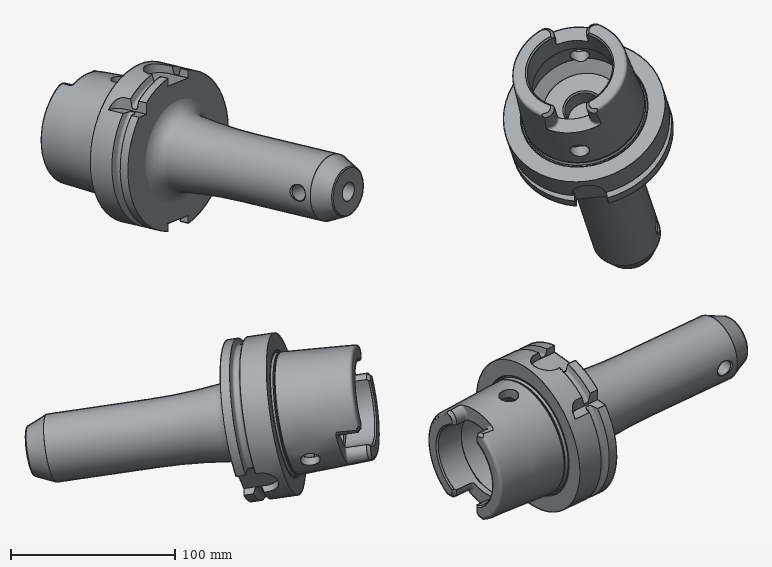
import cadquery as cq
import math


SHANK_LENGTH = 50.0
SEAT_RADIUS = 38.0
TAPER_HALF_SLOPE = 1 / 20
SHANK_END_ROUND = 2.0

NECK_START_X = -2.5
NECK_FLOOR_END_X = -1.0
NECK_DEPTH = 0.8
FACE_RELIEF_RADIUS = 39.5
FACE_RELIEF_DEPTH = 0.6

FLANGE_RADIUS = 50.0
FLANGE_LENGTH = 29.0
GROOVE_CENTRE_X = 19.85
GROOVE_MOUTH_WIDTH = 6.4
GROOVE_DEPTH = 4.4
GROOVE_WALL_ANGLE = 17.0
GROOVE_FLOOR_ROUND = 1.3

NOSE_END_X = 160.0
NOSE_RADIUS = 21.0
NOSE_TIP_RADIUS = 15.7
NOSE_CONE_LENGTH = 13.0
NOSE_TIP_CHAMFER = 0.7
NECK_STRAIGHT_X = 83.5
NECK_JOIN_X = 37.8
NECK_JOIN_RADIUS = 24.0
NECK_FOOT_RADIUS = 32.2

BORE_RADIUS = 26.4
BORE_CHAMFER = 1.0
BORE_CYLINDER_END_X = -31.0
CLAMP_RECESS_RADIUS = 31.5
CLAMP_RECESS_END_X = -10.5
CLAMP_SHOULDER_ANGLE = 60.0
BORE_FLOOR_RADIUS = 24.8
BORE_FLOOR_X = -4.0
COOLANT_BORE_RADIUS = 11.4
COOLANT_BORE_CHAMFER = 1.0
COOLANT_BORE_DEPTH = 12.0

CROSS_HOLE_DIAMETER = 12.0
CROSS_HOLE_X = -15.2
DRIVE_SLOT_HALF_WIDTH = 10.0
DRIVE_SLOT_FLARE_RADIUS = 5.5
DRIVE_SLOT_FLARE_Z = 26.4
DRIVE_SLOT_FLOOR_ROUND = 1.5
DRIVE_SLOT_INNER_Z = 20.0
DRIVE_SLOT_MOUTH_CHAMFER = 2.0
TOP_DRIVE_SLOT_DEPTH = 10.0
BOTTOM_DRIVE_SLOT_DEPTH = 15.0

KEYWAY_WIDTH = 20.0
KEYWAY_START_X = 4.9
KEYWAY_FLOOR_Z = 44.0
NOTCH_WALL = 31.5
NOTCH_START_X = 5.5
NOTCH_END_RADIUS = 7.0

TOOL_BORE_RADIUS = 6.0
TOOL_BORE_DEPTH = 47.0
SCREW_X = 137.4
SCREW_HOLE_RADIUS = 5.1
SCREW_HOLE_MOUTH_RADIUS = 6.0
SCREW_HOLE_CHAMFER = 0.9

CHAMFER_ANGLE = 45.0
QUARTER_ARC_MID = math.sqrt(0.5)
CLEARANCE = 5.0


def shank_radius(x):
    return SEAT_RADIUS + x * TAPER_HALF_SLOPE


def revolve_about_x(profile):
    return profile.close().revolve(360, (0, 0, 0), (1, 0, 0))


def turned_body():
    groove_floor_half = GROOVE_MOUTH_WIDTH / 2 - GROOVE_DEPTH * math.tan(math.radians(GROOVE_WALL_ANGLE))
    groove_floor_radius = FLANGE_RADIUS - GROOVE_DEPTH
    groove_mouth_half = GROOVE_MOUTH_WIDTH / 2

    arc_length = NECK_STRAIGHT_X - NECK_JOIN_X
    arc_rise = NECK_JOIN_RADIUS - NOSE_RADIUS
    arc_radius = (arc_length**2 + arc_rise**2) / (2 * arc_rise)
    half_length = arc_length / 2
    arc_mid = (
        NECK_STRAIGHT_X - half_length,
        NOSE_RADIUS + arc_radius - math.sqrt(arc_radius**2 - half_length**2),
    )

    body = revolve_about_x(
        cq.Workplane("XY")
        .moveTo(-SHANK_LENGTH, 0)
        .lineTo(-SHANK_LENGTH, shank_radius(-SHANK_LENGTH))
        .lineTo(NECK_START_X, shank_radius(NECK_START_X))
        .lineTo(NECK_START_X + NECK_DEPTH, shank_radius(NECK_START_X) - NECK_DEPTH)
        .lineTo(NECK_FLOOR_END_X, shank_radius(NECK_START_X) - NECK_DEPTH)
        .lineTo(FACE_RELIEF_DEPTH, SEAT_RADIUS)
        .lineTo(FACE_RELIEF_DEPTH, FACE_RELIEF_RADIUS - FACE_RELIEF_DEPTH)
        .lineTo(0, FACE_RELIEF_RADIUS)
        .lineTo(0, FLANGE_RADIUS)
        .lineTo(GROOVE_CENTRE_X - groove_mouth_half, FLANGE_RADIUS)
        .lineTo(GROOVE_CENTRE_X - groove_floor_half, groove_floor_radius)
        .lineTo(GROOVE_CENTRE_X + groove_floor_half, groove_floor_radius)
        .lineTo(GROOVE_CENTRE_X + groove_mouth_half, FLANGE_RADIUS)
        .lineTo(FLANGE_LENGTH, FLANGE_RADIUS)
        .lineTo(FLANGE_LENGTH, 0)
    )
    nose = revolve_about_x(
        cq.Workplane("XY")
        .moveTo(0, 0)
        .lineTo(NOSE_END_X, 0)
        .lineTo(NOSE_END_X, NOSE_TIP_RADIUS - NOSE_TIP_CHAMFER)
        .lineTo(NOSE_END_X - NOSE_TIP_CHAMFER, NOSE_TIP_RADIUS)
        .lineTo(NOSE_END_X - NOSE_CONE_LENGTH, NOSE_RADIUS)
        .lineTo(NECK_STRAIGHT_X, NOSE_RADIUS)
        .threePointArc(arc_mid, (NECK_JOIN_X, NECK_JOIN_RADIUS))
        .tangentArcPoint((FLANGE_LENGTH, NECK_FOOT_RADIUS), relative=False)
        .lineTo(0, NECK_FOOT_RADIUS)
    )
    groove_box = cq.selectors.BoxSelector(
        (GROOVE_CENTRE_X - groove_mouth_half, -FLANGE_RADIUS, -FLANGE_RADIUS),
        (GROOVE_CENTRE_X + groove_mouth_half, FLANGE_RADIUS, FLANGE_RADIUS),
    )
    groove_floor_edges = body.edges(groove_box).edges(cq.selectors.RadiusNthSelector(0))
    body = groove_floor_edges.fillet(GROOVE_FLOOR_ROUND)
    body = body.faces("<X").edges().fillet(SHANK_END_ROUND)
    return body.union(nose)


def shank_hollow():
    """Chamfered bore, wider clamping recess behind a conical shoulder, and blind coolant bore."""
    shoulder_length = (CLAMP_RECESS_RADIUS - BORE_RADIUS) / math.tan(math.radians(CLAMP_SHOULDER_ANGLE))
    floor_end_x = BORE_FLOOR_X + COOLANT_BORE_DEPTH
    return revolve_about_x(
        cq.Workplane("XY")
        .moveTo(-SHANK_LENGTH, 0)
        .lineTo(-SHANK_LENGTH, BORE_RADIUS + BORE_CHAMFER)
        .lineTo(-SHANK_LENGTH + BORE_CHAMFER, BORE_RADIUS)
        .lineTo(BORE_CYLINDER_END_X, BORE_RADIUS)
        .lineTo(BORE_CYLINDER_END_X + shoulder_length, CLAMP_RECESS_RADIUS)
        .lineTo(CLAMP_RECESS_END_X, CLAMP_RECESS_RADIUS)
        .lineTo(BORE_FLOOR_X, BORE_FLOOR_RADIUS)
        .lineTo(BORE_FLOOR_X, COOLANT_BORE_RADIUS + COOLANT_BORE_CHAMFER)
        .lineTo(BORE_FLOOR_X + COOLANT_BORE_CHAMFER, COOLANT_BORE_RADIUS)
        .lineTo(floor_end_x, COOLANT_BORE_RADIUS)
        .lineTo(floor_end_x, 0)
    )


def cross_hole():
    circle = cq.Workplane("XY").center(CROSS_HOLE_X, 0).circle(CROSS_HOLE_DIAMETER / 2)
    return circle.extrude(SEAT_RADIUS + CLEARANCE, both=True)


def drive_slot(depth):
    """Slot in the shank end on the +Z side, its walls rounding outward towards the shank surface."""
    half = DRIVE_SLOT_HALF_WIDTH
    flare = DRIVE_SLOT_FLARE_RADIUS
    arc_mid = (
        half + flare * (1 - QUARTER_ARC_MID),
        DRIVE_SLOT_FLARE_Z + flare * QUARTER_ARC_MID,
    )
    flare_top = DRIVE_SLOT_FLARE_Z + flare
    top = SEAT_RADIUS + CLEARANCE
    side = half + flare + CLEARANCE

    def outline():
        return (
            cq.Workplane("YZ", origin=(-SHANK_LENGTH, 0, 0))
            .moveTo(-half, DRIVE_SLOT_INNER_Z)
            .lineTo(half, DRIVE_SLOT_INNER_Z)
            .lineTo(half, DRIVE_SLOT_FLARE_Z)
            .threePointArc(arc_mid, (half + flare, flare_top))
            .lineTo(side, flare_top)
            .lineTo(side, top)
            .lineTo(-side, top)
            .lineTo(-side, flare_top)
            .lineTo(-half - flare, flare_top)
            .threePointArc((-arc_mid[0], arc_mid[1]), (-half, DRIVE_SLOT_FLARE_Z))
            .close()
        )

    slot = outline().extrude(depth).faces(">X").edges().fillet(DRIVE_SLOT_FLOOR_ROUND)
    mouth = outline().offset2D(DRIVE_SLOT_MOUTH_CHAMFER, "intersection")
    mouth = mouth.extrude(DRIVE_SLOT_MOUTH_CHAMFER, taper=CHAMFER_ANGLE)
    return slot.union(mouth)


def keyway():
    """Key slot in the flange on the +Z side, round at its shank end and open at the nose end."""
    radius = KEYWAY_WIDTH / 2
    end_x = FLANGE_LENGTH + CLEARANCE
    return (
        cq.Workplane("XY", origin=(0, 0, KEYWAY_FLOOR_Z))
        .moveTo(end_x, -radius)
        .lineTo(KEYWAY_START_X + radius, -radius)
        .threePointArc((KEYWAY_START_X, 0), (KEYWAY_START_X + radius, radius))
        .lineTo(end_x, radius)
        .close()
        .extrude(FLANGE_RADIUS + CLEARANCE - KEYWAY_FLOOR_Z)
    )


def orientation_notch():
    """Step in the flange corner between -Y and +Z, with a rounded end wall."""
    arc_centre_x = NOTCH_START_X + NOTCH_END_RADIUS
    end_x = FLANGE_LENGTH
    outer_y = -FLANGE_RADIUS
    arc_mid = (
        arc_centre_x - NOTCH_END_RADIUS * QUARTER_ARC_MID,
        -NOTCH_WALL - NOTCH_END_RADIUS * (1 - QUARTER_ARC_MID),
    )
    return (
        cq.Workplane("XY", origin=(0, 0, NOTCH_WALL))
        .moveTo(end_x, -NOTCH_WALL)
        .lineTo(arc_centre_x, -NOTCH_WALL)
        .threePointArc(arc_mid, (NOTCH_START_X, -NOTCH_WALL - NOTCH_END_RADIUS))
        .lineTo(NOTCH_START_X, outer_y)
        .lineTo(end_x, outer_y)
        .close()
        .extrude(FLANGE_RADIUS - NOTCH_WALL)
    )


def tool_bore():
    return cq.Workplane("YZ", origin=(NOSE_END_X, 0, 0)).circle(TOOL_BORE_RADIUS).extrude(-TOOL_BORE_DEPTH)


def screw_hole():
    """Clamping screw hole from the -Y side into the tool bore, with a chamfered mouth."""
    mouth_y = NOSE_RADIUS
    hole = (
        cq.Workplane("XY")
        .moveTo(0, 0)
        .lineTo(SCREW_HOLE_RADIUS, 0)
        .lineTo(SCREW_HOLE_RADIUS, -mouth_y + SCREW_HOLE_CHAMFER)
        .lineTo(SCREW_HOLE_MOUTH_RADIUS, -mouth_y)
        .lineTo(SCREW_HOLE_MOUTH_RADIUS, -mouth_y - CLEARANCE)
        .lineTo(0, -mouth_y - CLEARANCE)
        .close()
        .revolve(360, (0, 0, 0), (0, 1, 0))
    )
    return hole.translate((SCREW_X, 0, 0))


def to_bottom(cutter):
    """Turn a cutter made on the +Z side half a turn about the axis."""
    return cutter.rotate((0, 0, 0), (1, 0, 0), 180)


cutters = [
    shank_hollow(),
    drive_slot(TOP_DRIVE_SLOT_DEPTH),
    to_bottom(drive_slot(BOTTOM_DRIVE_SLOT_DEPTH)),
    cross_hole(),
    keyway(),
    to_bottom(keyway()),
    orientation_notch(),
    tool_bore(),
    screw_hole(),
]
result = turned_body()
for cutter in cutters:
    result = result.cut(cutter)